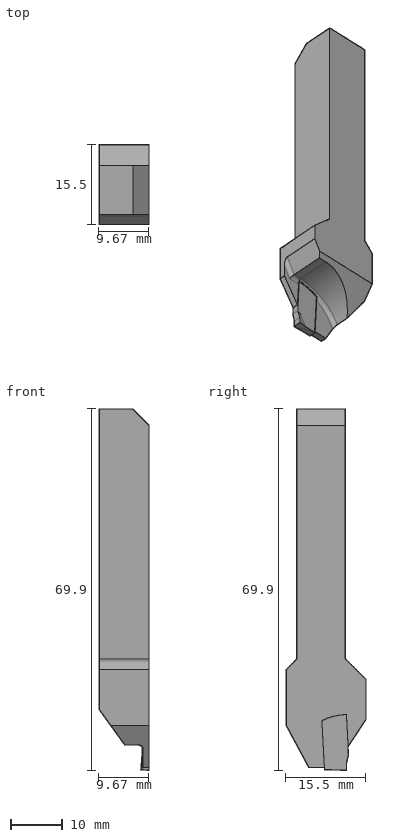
import cadquery as cq
import math

HEIGHT = 69.85
HEAD_WIDTH = 15.45
THICKNESS = 9.67

SHANK_WIDTH = 9.45
TOP_CHAMFER = 3.175

BACK_OVERHANG = 4.0
FRONT_OVERHANG = HEAD_WIDTH - SHANK_WIDTH - BACK_OVERHANG
SHOULDER_Z = 21.55
FRONT_SHOULDER_DROP = 2.1
FRONT_BREAK_Y = 0.34
FRONT_BREAK_DROP = 0.38
BACK_TAPER_Z = 9.87
FRONT_TAPER_Z = 8.65
HEAD_BOTTOM_Z = 0.55
HEAD_BOTTOM_FRONT_Y = 2.35
BACK_TAPER_SLOPE = 0.66

RELIEF_Z = 11.75
RELIEF_SLOPE = 0.72

BLADE_X = 8.45
POCKET_TOP_Z = 10.8
POCKET_ARC_Y = 9.86
POCKET_ARC_RADIUS = 11.1
POCKET_CORNER_Y = 11.58
POCKET_WALL_SLOPE = 1.8
POCKET_FILLET = 0.8

INSERT_X = 8.27
INSERT_WIDTH = 4.8
INSERT_LEAN = math.tan(math.radians(3.0))
INSERT_BOTTOM_RISE = 0.12
INSERT_TIP_Y = 9.66
INSERT_BACK_Y = 10.2
TIP_NECK_Z = 3.0
TIP_Z = 1.4
BOTTOM_RELIEF = 0.12

LIP_RISE = 0.25
LIP_FOLD_TOP_Z = 3.1
LIP_FOLD_BOTTOM_Y = 7.85
LIP_TOP_Z = 2.55

HEAD_BACK_Y = SHANK_WIDTH + BACK_OVERHANG
HEAD_FRONT_Y = -FRONT_OVERHANG
POCKET_ARC_Z = POCKET_TOP_Z - POCKET_ARC_RADIUS
MARGIN = 5.0
FAR = HEIGHT


def yz_prism(outline, x_start, x_end):
    """Extrude a closed YZ outline from x_start to x_end."""
    return outline.extrude(x_end - x_start).translate((x_start, 0, 0))


def holder_blank():
    """Side outline of the shank and head, through the full thickness."""
    back_taper_run = BACK_TAPER_SLOPE * (BACK_TAPER_Z - HEAD_BOTTOM_Z)
    outline = cq.Workplane("YZ").polyline([
        (0, HEIGHT),
        (SHANK_WIDTH, HEIGHT),
        (SHANK_WIDTH, SHOULDER_Z),
        (HEAD_BACK_Y, SHOULDER_Z - BACK_OVERHANG),
        (HEAD_BACK_Y, BACK_TAPER_Z),
        (HEAD_BACK_Y - back_taper_run, HEAD_BOTTOM_Z),
        (HEAD_BOTTOM_FRONT_Y, HEAD_BOTTOM_Z),
        (HEAD_FRONT_Y, FRONT_TAPER_Z),
        (HEAD_FRONT_Y, SHOULDER_Z - FRONT_SHOULDER_DROP),
        (-FRONT_BREAK_Y, SHOULDER_Z - FRONT_BREAK_DROP),
        (0, SHOULDER_Z),
    ]).close()
    return yz_prism(outline, 0, THICKNESS)


def top_chamfer():
    """Corner cut from the right side of the shank's top end."""
    corner = cq.Workplane("XZ").polyline([
        (THICKNESS - TOP_CHAMFER, HEIGHT),
        (THICKNESS, HEIGHT),
        (THICKNESS, HEIGHT - TOP_CHAMFER),
    ]).close()
    return corner.extrude(FAR, both=True)


def side_relief():
    """Sloped cut under the left side of the head."""
    wedge = cq.Workplane("XZ").polyline([
        (0, RELIEF_Z),
        (RELIEF_SLOPE * RELIEF_Z, 0),
        (0, 0),
    ]).close()
    return wedge.extrude(FAR, both=True)


def pocket_arc_z(y):
    """Height of the curved pocket wall at y."""
    return POCKET_ARC_Z + math.sqrt(POCKET_ARC_RADIUS**2 - (y - POCKET_ARC_Y) ** 2)


def pocket():
    """Cutter for the pocket, rounded where its wall meets the blade."""
    back_y = HEAD_BACK_Y + MARGIN
    back_z = POCKET_TOP_Z + POCKET_WALL_SLOPE * (back_y - POCKET_CORNER_Y)
    front_y = POCKET_ARC_Y - POCKET_ARC_RADIUS
    diagonal = POCKET_ARC_RADIUS * math.sqrt(0.5)
    outline = (
        cq.Workplane("YZ")
        .moveTo(back_y, -MARGIN)
        .lineTo(back_y, back_z)
        .lineTo(POCKET_CORNER_Y, POCKET_TOP_Z)
        .lineTo(POCKET_ARC_Y, POCKET_TOP_Z)
        .threePointArc((POCKET_ARC_Y - diagonal, POCKET_ARC_Z + diagonal), (front_y, POCKET_ARC_Z))
        .lineTo(front_y, -MARGIN)
        .close()
    )
    cutter = yz_prism(outline, -MARGIN, BLADE_X)
    return cutter.faces(">X").edges("not(<Z)").fillet(POCKET_FILLET)


def insert_blank(x_start):
    """Insert body from x_start to the right side, its top following the pocket arc."""
    back_top_y = INSERT_BACK_Y - INSERT_LEAN * POCKET_TOP_Z
    back_neck_y = INSERT_BACK_Y - INSERT_LEAN * TIP_NECK_Z
    front_bottom_y = INSERT_BACK_Y - INSERT_WIDTH
    front_top_y = front_bottom_y - INSERT_LEAN * pocket_arc_z(front_bottom_y)
    mid_y = (back_top_y + front_top_y) / 2
    outline = (
        cq.Workplane("YZ")
        .moveTo(INSERT_TIP_Y, 0)
        .lineTo(INSERT_TIP_Y, TIP_Z)
        .lineTo(back_neck_y, TIP_NECK_Z)
        .lineTo(back_top_y, pocket_arc_z(back_top_y))
        .threePointArc((mid_y, pocket_arc_z(mid_y)), (front_top_y, pocket_arc_z(front_top_y)))
        .lineTo(front_bottom_y, INSERT_BOTTOM_RISE)
        .close()
    )
    return yz_prism(outline, x_start, THICKNESS)


def lip_wedge():
    """Wedge that rises from the fold line towards the tip corner."""
    fold_y = LIP_FOLD_BOTTOM_Y - INSERT_TIP_Y
    fold_length = math.hypot(fold_y, LIP_FOLD_TOP_Z)
    corner_distance = -fold_y * LIP_FOLD_TOP_Z / fold_length
    fold_plane = cq.Plane(
        origin=(INSERT_X, INSERT_TIP_Y, LIP_FOLD_TOP_Z),
        xDir=(0, LIP_FOLD_TOP_Z, fold_y),
        normal=(0, fold_y, -LIP_FOLD_TOP_Z),
    )
    profile = cq.Workplane(fold_plane).polyline([
        (0, 0),
        (corner_distance, -LIP_RISE),
        (corner_distance, 0),
    ]).close()
    below_lip_top = cq.Workplane("XY", origin=(0, 0, LIP_TOP_Z)).rect(FAR, FAR).extrude(-FAR)
    return profile.extrude(fold_length, both=True).intersect(below_lip_top)


def bottom_relief():
    """Thin wedge that makes the insert's bottom rise towards its face."""
    wedge = cq.Workplane("XZ").polyline([
        (INSERT_X - LIP_RISE, BOTTOM_RELIEF),
        (THICKNESS, 0),
        (INSERT_X - LIP_RISE, 0),
    ]).close()
    return wedge.extrude(FAR, both=True)


lip = insert_blank(INSERT_X - LIP_RISE).intersect(lip_wedge())
insert = insert_blank(INSERT_X).union(lip).cut(bottom_relief())

holder = holder_blank().cut(top_chamfer()).cut(side_relief()).cut(pocket()).cut(insert)

result = cq.Compound.makeCompound([holder.val(), insert.val()])